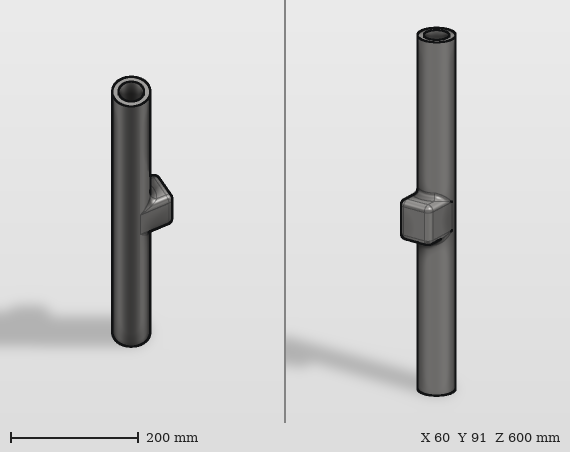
import cadquery as cq

TUBE_LENGTH = 600.0
TUBE_DIAMETER = 60.0
BORE_DIAMETER = 40.0

LUG_WIDTH = TUBE_DIAMETER
LUG_REACH = 61.0
LUG_HEIGHT = 68.0
LUG_ROUND = 10.0

ROOT_FILLET = 10.0

TUBE_RADIUS = TUBE_DIAMETER / 2

TOLERANCE = 0.01


def make_tube():
    """Plain round tube with a through bore."""
    return (
        cq.Workplane("XY")
        .workplane(offset=-TUBE_LENGTH / 2)
        .circle(TUBE_RADIUS)
        .circle(BORE_DIAMETER / 2)
        .extrude(TUBE_LENGTH)
    )


def make_lug():
    """Block with rounded edges; its flat back face lies on the tube axis and half closes the bore."""
    block = cq.Workplane("XY").box(LUG_WIDTH, LUG_REACH, LUG_HEIGHT, centered=(True, False, True))
    return block.edges("|Y or >Y").fillet(LUG_ROUND)


def is_root_edge(edge):
    """True for the edges along which the lug meets the outside of the tube."""
    middle = edge.positionAt(0.5)
    distance_from_axis = (middle.x**2 + middle.y**2) ** 0.5
    on_tube = abs(distance_from_axis - TUBE_RADIUS) < TOLERANCE
    in_lug_zone = abs(middle.z) < LUG_HEIGHT / 2 + TOLERANCE
    return on_tube and in_lug_zone and edge.geomType() != "LINE"


def blend_root(body):
    """Round the junction between lug and tube."""
    root_edges = [edge for edge in body.edges().vals() if is_root_edge(edge)]
    return body.newObject(root_edges).fillet(ROOT_FILLET)


result = blend_root(make_tube().union(make_lug()))